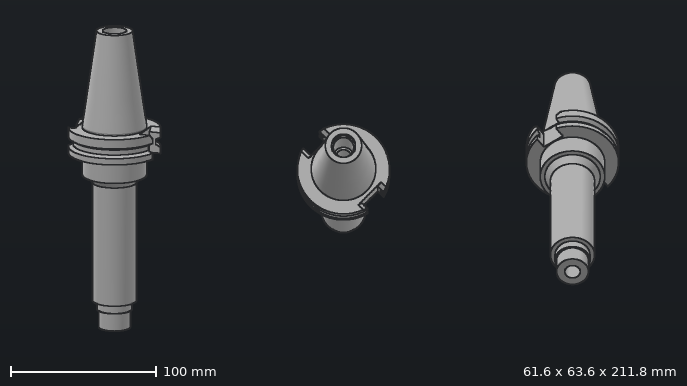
import cadquery as cq

nose_step_z = 12.7
shaft_start_z = 19.0
neck_start_z = 103.5
collar_start_z = 108.9
flange_bottom_z = 124.8
groove_bottom_z = 129.2
groove_top_z = 136.2
flange_top_z = 142.8
taper_start_z = 144.0
total_length = 211.8

nose_radius = 11.0
nose_step_radius = 12.0
shaft_radius = 15.3
neck_radius = 19.0
collar_radius = 22.2
flange_radius = 31.8
groove_radius = 28.5
taper_tip_radius = 12.5
groove_bevel = 1.7

through_radius = 5.3
thread_radius = 7.0
thread_end_z = 178.0
mouth_radius = 8.3
mouth_depth = 5.0

slot_width = 16.0
shallow_slot_floor = 25.0
deep_slot_floor = 22.7
slot_chamfer = 3.2


def make_body():
    profile = [
        (0, 0),
        (nose_radius, 0),
        (nose_radius, nose_step_z),
        (nose_step_radius, nose_step_z),
        (nose_step_radius, shaft_start_z),
        (shaft_radius, shaft_start_z),
        (shaft_radius, neck_start_z),
        (neck_radius, collar_start_z),
        (collar_radius, collar_start_z),
        (collar_radius, flange_bottom_z),
        (flange_radius, flange_bottom_z),
        (flange_radius, groove_bottom_z),
        (groove_radius, groove_bottom_z + groove_bevel),
        (groove_radius, groove_top_z - groove_bevel),
        (flange_radius, groove_top_z),
        (flange_radius, flange_top_z),
        (collar_radius, flange_top_z),
        (collar_radius, taper_start_z),
        (taper_tip_radius, total_length),
        (0, total_length),
    ]
    return cq.Workplane("XZ").polyline(profile).close().revolve(360, (0, 0), (0, 1))


def bore(radius, bottom_z):
    return cq.Workplane("XY").workplane(offset=bottom_z).circle(radius).extrude(total_length - bottom_z)


def drive_slot(side, floor_distance):
    """Slot through the flange height, its top edges chamfered; side is -1 or 1 along X."""
    half_width = slot_width / 2
    chamfer_start_z = flange_top_z - slot_chamfer
    mouth_half_width = half_width + slot_chamfer
    outline = [
        (-half_width, flange_bottom_z),
        (half_width, flange_bottom_z),
        (half_width, chamfer_start_z),
        (mouth_half_width, flange_top_z),
        (-mouth_half_width, flange_top_z),
        (-half_width, chamfer_start_z),
    ]
    slot = cq.Workplane("YZ", origin=(side * floor_distance, 0, 0)).polyline(outline).close()
    return slot.extrude(side * flange_radius)


result = make_body()
result = result.cut(drive_slot(-1, shallow_slot_floor))
result = result.cut(drive_slot(1, deep_slot_floor))
result = result.cut(bore(through_radius, 0))
result = result.cut(bore(thread_radius, thread_end_z))
result = result.cut(bore(mouth_radius, total_length - mouth_depth))